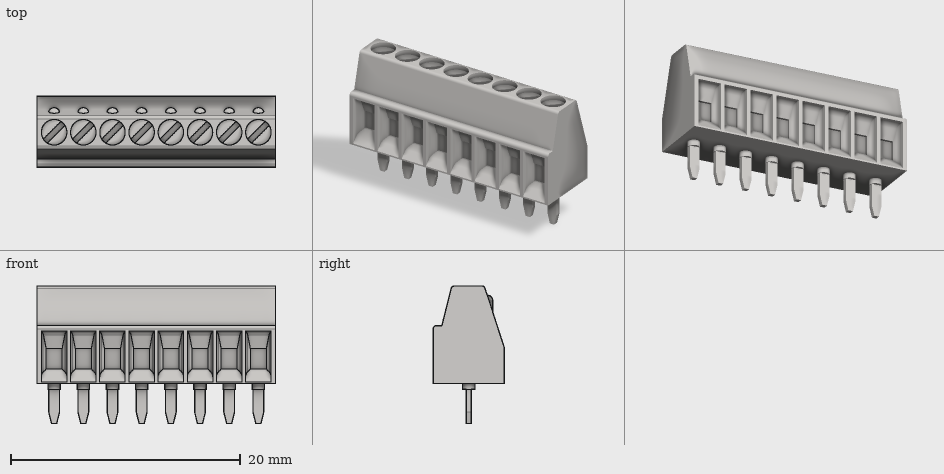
import cadquery as cq
import math


pole_count = 8
pitch = 2.54
body_length = 20.78
first_pole_x = (body_length - (pole_count - 1) * pitch) / 2
pole_positions = [first_pole_x + i * pitch for i in range(pole_count)]

body_depth = 6.2
body_height = 8.5
ledge_height = 5.05
ledge_depth = 0.75
top_front_y = 1.62
top_back_y = 4.45
back_wall_height = 3.14
edge_radius = 0.3

entry_width = 2.22
entry_floor_z = 0.15
entry_roof_z = 4.58
tunnel_width = 1.4
tunnel_floor_z = 1.25
tunnel_roof_z = 3.06
tunnel_start_y = 1.08
tunnel_end_y = 1.35
side_arc_radius = 0.55
side_arc_turn = math.radians(45)
roof_arc_radius = 0.45
roof_arc_turn = math.radians(79)

screw_y = 3.06
screw_radius = 1.11
head_recess = 0.45
slot_width = 0.5
slot_depth = 0.55
slot_direction = 45

post_radius = 0.5
post_y = 4.7
post_dome_z = 7.2

pin_y = 3.1
collar_radius = 0.55
collar_height = 0.5
pin_length = 3.5
pin_width = 0.95
pin_thickness = 0.47
pin_taper_length = 1.0
pin_tip_width = 0.45


def make_housing():
    """Stepped housing profile swept along the row, with rounded upper edges."""
    profile = [
        (0, 0),
        (0, ledge_height),
        (ledge_depth, ledge_height),
        (top_front_y, body_height),
        (top_back_y, body_height),
        (body_depth, back_wall_height),
        (body_depth, 0),
    ]
    housing = cq.Workplane("YZ").polyline(profile).close().extrude(body_length)
    rounded_corners = [
        (0, ledge_height),
        (top_front_y, body_height),
        (top_back_y, body_height),
    ]
    for y, z in rounded_corners:
        corner = cq.selectors.NearestToPointSelector((body_length / 2, y, z))
        housing = housing.edges("|X").edges(corner).fillet(edge_radius)
    return housing


def make_wire_entry(x):
    """Funnel common to a plan outline (narrowing sides) and a side outline (floor and roof)."""
    half_entry = entry_width / 2
    half_tunnel = tunnel_width / 2

    side_arc_end_x = half_entry - side_arc_radius * (1 - math.cos(side_arc_turn))
    side_flat_depth = (side_arc_end_x - half_tunnel) / math.tan(side_arc_turn)
    side_arc_end_y = tunnel_start_y - side_flat_depth
    side_arc_start_y = side_arc_end_y - side_arc_radius * math.sin(side_arc_turn)
    side_arc_mid_x = half_entry - side_arc_radius * (1 - math.cos(side_arc_turn / 2))
    side_arc_mid_y = side_arc_start_y + side_arc_radius * math.sin(side_arc_turn / 2)
    plan = (
        cq.Workplane("XY")
        .moveTo(-half_entry, 0)
        .lineTo(half_entry, 0)
        .lineTo(half_entry, side_arc_start_y)
        .threePointArc((side_arc_mid_x, side_arc_mid_y), (side_arc_end_x, side_arc_end_y))
        .lineTo(half_tunnel, tunnel_start_y)
        .lineTo(half_tunnel, tunnel_end_y)
        .lineTo(-half_tunnel, tunnel_end_y)
        .lineTo(-half_tunnel, tunnel_start_y)
        .lineTo(-side_arc_end_x, side_arc_end_y)
        .threePointArc((-side_arc_mid_x, side_arc_mid_y), (-half_entry, side_arc_start_y))
        .close()
        .extrude(body_height)
    )

    roof_arc_end_z = entry_roof_z - roof_arc_radius * (1 - math.cos(roof_arc_turn))
    roof_flat_depth = (roof_arc_end_z - tunnel_roof_z) / math.tan(roof_arc_turn)
    roof_arc_end_y = tunnel_start_y - roof_flat_depth
    roof_arc_start_y = roof_arc_end_y - roof_arc_radius * math.sin(roof_arc_turn)
    roof_arc_mid_z = entry_roof_z - roof_arc_radius * (1 - math.cos(roof_arc_turn / 2))
    roof_arc_mid_y = roof_arc_start_y + roof_arc_radius * math.sin(roof_arc_turn / 2)
    side = (
        cq.Workplane("YZ")
        .moveTo(0, entry_floor_z)
        .lineTo(tunnel_start_y, tunnel_floor_z)
        .lineTo(tunnel_end_y, tunnel_floor_z)
        .lineTo(tunnel_end_y, tunnel_roof_z)
        .lineTo(tunnel_start_y, tunnel_roof_z)
        .lineTo(roof_arc_end_y, roof_arc_end_z)
        .threePointArc((roof_arc_mid_y, roof_arc_mid_z), (roof_arc_start_y, entry_roof_z))
        .lineTo(0, entry_roof_z)
        .close()
        .extrude(half_entry, both=True)
    )
    return plan.intersect(side).translate((x, 0, 0))


def make_screw_recess(x):
    """Round recess down to the screw head, with the driver slot cut into the head."""
    recess = cq.Workplane("XY").circle(screw_radius).extrude(-head_recess)
    slot_reach = cq.Workplane("XY").circle(screw_radius).extrude(-(head_recess + slot_depth))
    slot = (
        cq.Workplane("XY")
        .rect(2 * screw_radius, slot_width)
        .extrude(-(head_recess + slot_depth))
        .rotate((0, 0, 0), (0, 0, 1), slot_direction)
        .intersect(slot_reach)
    )
    return recess.union(slot).translate((x, screw_y, body_height))


def make_post(x):
    """Vertical post with a hemispherical top, rooted in the housing behind the screw."""
    shaft_height = post_dome_z - back_wall_height
    shaft = cq.Workplane("XY").circle(post_radius).extrude(-shaft_height)
    dome = cq.Workplane("XY").sphere(post_radius)
    return shaft.union(dome).translate((x, post_y, post_dome_z))


def make_pin(x):
    """Round collar under the housing carrying a flat pin with a tapered tip."""
    taper_start_z = -pin_length + pin_taper_length
    outline = [
        (-pin_width / 2, 0),
        (pin_width / 2, 0),
        (pin_width / 2, taper_start_z),
        (pin_tip_width / 2, -pin_length),
        (-pin_tip_width / 2, -pin_length),
        (-pin_width / 2, taper_start_z),
    ]
    blade = cq.Workplane("XZ").polyline(outline).close().extrude(pin_thickness / 2, both=True)
    collar = cq.Workplane("XY").circle(collar_radius).extrude(-collar_height)
    return collar.union(blade).translate((x, pin_y, 0))


result = make_housing()
for pole_x in pole_positions:
    result = result.union(make_post(pole_x))
    result = result.union(make_pin(pole_x))
    result = result.cut(make_wire_entry(pole_x))
    result = result.cut(make_screw_recess(pole_x))